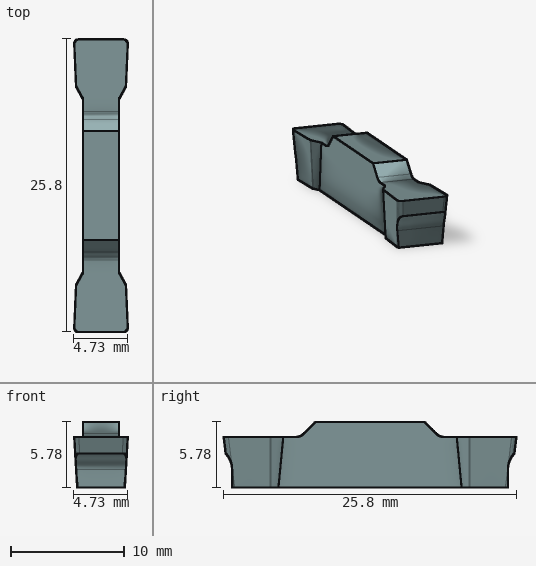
import cadquery as cq
import math

length = 25.8
bar_width = 3.2
bar_height = 5.78
deck_height = 4.46

crest_length = 9.6
ramp_angle = 45.0
ramp_root_radius = 0.98

head_width = 4.77
head_rear_width = 4.4
head_rear_y = 8.75
neck_y = 7.64
flank_draft = 3.0
end_draft = 7.0
nose_radius = 0.4
shoulder_radius = 0.2

relief_y = 12.15
relief_arc_bottom = 1.57
relief_arc_top = 3.02

half_length = length / 2
pick_margin = 0.03


def make_bar():
    """Straight bar with a raised crest that ramps down to the deck at both ends."""
    crest_y = crest_length / 2
    ramp_run = (bar_height - deck_height) / math.tan(math.radians(ramp_angle))
    ramp_foot_y = crest_y + ramp_run
    bar_end_y = head_rear_y
    bar = (
        cq.Workplane("YZ")
        .moveTo(-bar_end_y, 0)
        .lineTo(bar_end_y, 0)
        .lineTo(bar_end_y, deck_height)
        .lineTo(ramp_foot_y, deck_height)
        .lineTo(crest_y, bar_height)
        .lineTo(-crest_y, bar_height)
        .lineTo(-ramp_foot_y, deck_height)
        .lineTo(-bar_end_y, deck_height)
        .close()
        .extrude(bar_width / 2, both=True)
    )
    ramp_feet = cq.selectors.BoxSelector(
        (-bar_width, -ramp_foot_y - pick_margin, deck_height - pick_margin),
        (bar_width, ramp_foot_y + pick_margin, deck_height + pick_margin),
    )
    return bar.edges(ramp_feet).fillet(ramp_root_radius)


def head_outline(depth):
    """Corner points of the head at a depth below the deck, drawn in by the drafts."""
    inset = depth * math.tan(math.radians(flank_draft))
    end_y = half_length - depth * math.tan(math.radians(end_draft))
    flank_slope = (head_width - head_rear_width) / 2 / (half_length - head_rear_y)
    shoulder_slope = (head_rear_width - bar_width) / 2 / (head_rear_y - neck_y)
    neck_x = bar_width / 2
    rear_x = head_rear_width / 2 - inset
    end_x = rear_x + flank_slope * (end_y - head_rear_y)
    inner_y = head_rear_y - (rear_x - neck_x) / shoulder_slope
    right_side = [(neck_x, inner_y), (rear_x, head_rear_y), (end_x, end_y)]
    left_side = [(-x, y) for x, y in reversed(right_side)]
    return right_side + left_side


def make_relief():
    """Cutter for the space beyond the end face: a vertical wall and a tangent hollow arc."""
    arc_top_y = half_length - (deck_height - relief_arc_top) * math.tan(math.radians(end_draft))
    run = arc_top_y - relief_y
    rise = relief_arc_top - relief_arc_bottom
    radius = (run**2 + rise**2) / (2 * run)
    half_sweep = math.asin(rise / radius) / 2
    arc_middle = (
        relief_y + radius * (1 - math.cos(half_sweep)),
        relief_arc_bottom + radius * math.sin(half_sweep),
    )
    return (
        cq.Workplane("YZ")
        .moveTo(relief_y, 0)
        .lineTo(relief_y, relief_arc_bottom)
        .threePointArc(arc_middle, (arc_top_y, relief_arc_top))
        .lineTo(half_length, relief_arc_top)
        .lineTo(half_length, 0)
        .close()
        .extrude(head_width, both=True)
    )


def make_head():
    """Drafted head at the +Y end with rounded nose corners and shoulders."""
    head = (
        cq.Workplane("XY")
        .polyline(head_outline(deck_height))
        .close()
        .workplane(offset=deck_height)
        .polyline(head_outline(0))
        .close()
        .loft(ruled=True, combine=True)
    )
    upright_edges = "not(#Z)"
    nose_edges = head.edges(upright_edges).edges(">Y")
    head = nose_edges.fillet(nose_radius)
    shoulder_zone = cq.selectors.BoxSelector(
        (-head_width, head_rear_y - pick_margin, deck_height / 2 - pick_margin),
        (head_width, head_rear_y + pick_margin, deck_height / 2 + pick_margin),
    )
    head = head.edges(shoulder_zone).fillet(shoulder_radius)
    return head.cut(make_relief())


head = make_head()
result = make_bar().union(head).union(head.mirror("XZ"))